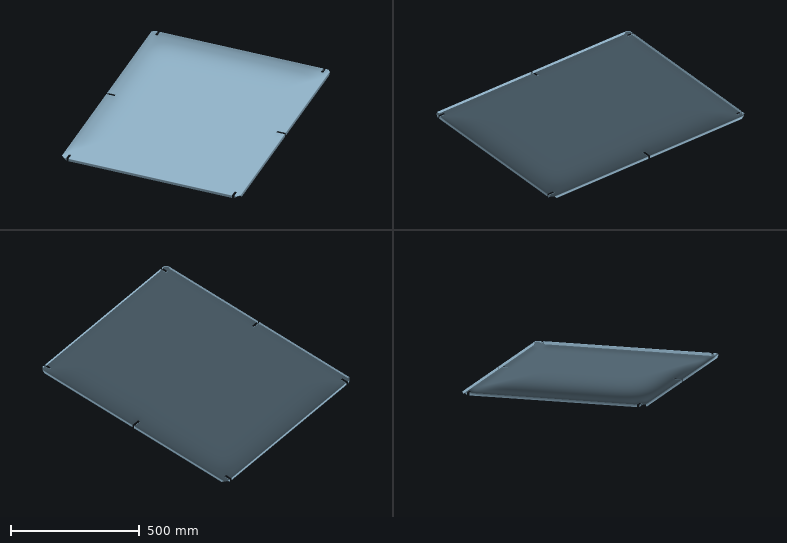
import cadquery as cq

width = 749.0
length = 953.0
height = 12.0
sheet = 2.0
bend_radius = 2.4

corner_cut = 13.0
flange_drop = height - bend_radius
foot_cut = corner_cut + flange_drop

slot_width = 10.5
end_slot_depth = 29.0
end_slot_offset = 347.0
side_slot_depth = 36.0


def slab(size_x, size_y, size_z, edge_radius):
    """Block standing on Z = 0 with rounded upper edges."""
    block = cq.Workplane("XY").box(size_x, size_y, size_z, centered=(True, True, False))
    return block.faces(">Z").edges().fillet(edge_radius)


def tray():
    """Open-bottomed pan of constant wall thickness, folded along its four upper edges."""
    outer = slab(width, length, height, bend_radius)
    cavity = slab(width - 2 * sheet, length - 2 * sheet, height - sheet, bend_radius - sheet)
    return outer.cut(cavity)


def flange_end(plane, edge):
    """Closed outline, on a plane parallel to a flange, of the waste beyond its sloped end."""
    profile = [
        (edge, flange_drop),
        (edge - corner_cut, flange_drop),
        (edge - foot_cut, 0),
        (edge, 0),
    ]
    return plane.polyline(profile).close()


def corner_waste():
    """Material cut from the corner at +X, +Y."""
    edge_x = width / 2
    edge_y = length / 2
    triangle = [(edge_x, edge_y), (edge_x - corner_cut, edge_y), (edge_x, edge_y - corner_cut)]
    corner = cq.Workplane("XY").polyline(triangle).close().extrude(height)

    side_plane = cq.Workplane("YZ", origin=(edge_x - sheet, 0, 0))
    side_flange_end = flange_end(side_plane, edge_y).extrude(sheet)
    end_plane = cq.Workplane("XZ", origin=(0, edge_y - sheet, 0))
    end_flange_end = flange_end(end_plane, edge_x).extrude(-sheet)
    return corner.union(side_flange_end).union(end_flange_end)


def slots():
    """Cutters for the six open slots, each centred on the edge it opens through."""
    end_centers = [(x * end_slot_offset, y * length / 2) for x in (-1, 1) for y in (-1, 1)]
    side_centers = [(-width / 2, 0), (width / 2, 0)]
    end_slots = cq.Workplane("XY").pushPoints(end_centers).rect(slot_width, 2 * end_slot_depth)
    side_slots = cq.Workplane("XY").pushPoints(side_centers).rect(2 * side_slot_depth, slot_width)
    return end_slots.extrude(height).union(side_slots.extrude(height))


waste = corner_waste()
waste = waste.union(waste.mirror("YZ"))
waste = waste.union(waste.mirror("XZ"))

result = tray().cut(waste).cut(slots())